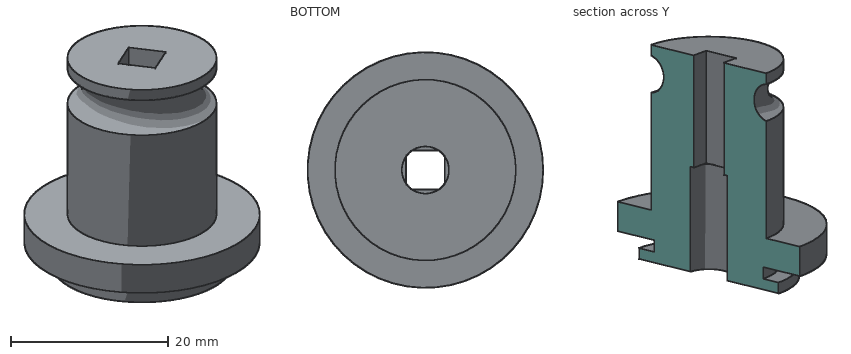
import cadquery as cq

foot_height = 1.5
neck_height = 1.5
flange_height = 4.0
top_disc_height = 1.5
total_height = 29.0

foot_diameter = 23.0
neck_diameter = 18.0
flange_diameter = 30.0
body_diameter = 19.0

groove_width = 4.9
groove_depth = 2.0

socket_side = 4.92
socket_depth = 15.0
bore_diameter = 6.0

neck_bottom = foot_height
flange_bottom = neck_bottom + neck_height
body_bottom = flange_bottom + flange_height
groove_top = total_height - top_disc_height
groove_bottom = groove_top - groove_width
groove_middle = groove_top - groove_width / 2

body_radius = body_diameter / 2


def turned_body():
    """Revolve the half profile, drawn as radius and height, about Z."""
    profile = (
        cq.Workplane("XZ")
        .lineTo(foot_diameter / 2, 0)
        .lineTo(foot_diameter / 2, neck_bottom)
        .lineTo(neck_diameter / 2, neck_bottom)
        .lineTo(neck_diameter / 2, flange_bottom)
        .lineTo(flange_diameter / 2, flange_bottom)
        .lineTo(flange_diameter / 2, body_bottom)
        .lineTo(body_radius, body_bottom)
        .lineTo(body_radius, groove_bottom)
        .threePointArc((body_radius - groove_depth, groove_middle), (body_radius, groove_top))
        .lineTo(body_radius, total_height)
        .lineTo(0, total_height)
        .close()
    )
    return profile.revolve(360, (0, 0, 0), (0, 1, 0))


def square_socket():
    """Square cutter that opens at the top face."""
    socket_bottom = total_height - socket_depth
    return cq.Workplane("XY").workplane(offset=socket_bottom).rect(socket_side, socket_side).extrude(socket_depth)


def lower_bore():
    """Round cutter from the bottom face up to the socket."""
    return cq.Workplane("XY").circle(bore_diameter / 2).extrude(total_height - socket_depth)


result = turned_body().cut(square_socket()).cut(lower_bore())